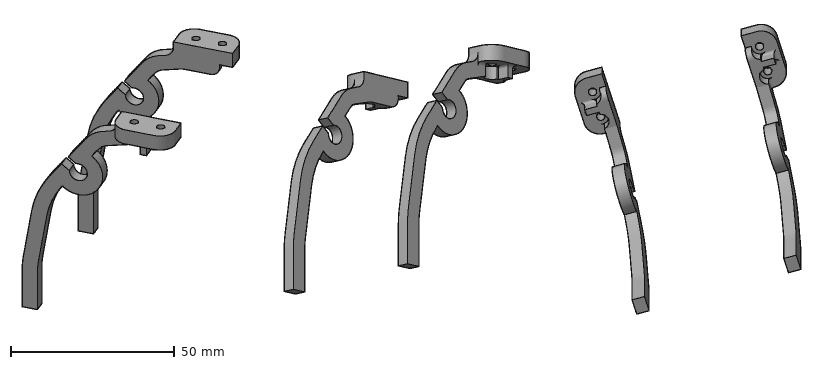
import cadquery as cq
import math

OVERALL_LENGTH = 50.6
OVERALL_WIDTH = 64.5
OVERALL_HEIGHT = 74.0
PAD_LENGTH = 19.45
PAD_DEPTH = 10.0
PAD_THICKNESS = 5.0
PAD_CORNER_RADIUS = 5.0
PAD_LEFT = OVERALL_LENGTH - PAD_LENGTH
PAD_BOTTOM = OVERALL_HEIGHT - PAD_THICKNESS
INNER_FACE = OVERALL_WIDTH / 2 - PAD_DEPTH

HOLE_DIAMETER = 2.5
HEAD_CLEARANCE_DIAMETER = 5.0
HOLE_SPACING = 8.65
HOLE_RIGHT_INSET = 5.0
HOLE_SETBACK = 4.45
HOLE_XS = (OVERALL_LENGTH - HOLE_RIGHT_INSET - HOLE_SPACING, OVERALL_LENGTH - HOLE_RIGHT_INSET)

ARM_THICKNESS = 4.0
WEB_HEIGHT = 4.0
WEB_BOTTOM = PAD_BOTTOM - WEB_HEIGHT
WEB_RIGHT = 46.3
WEB_CORNER_RADIUS = 2.95
RIB_WIDTH = 2.1
RIB_PROJECTION = 4.0
RIB_X = sum(HOLE_XS) / 2
UNDERSIDE_FILLET = 0.95

ARM_WIDTH = 5.0
FOOT_LENGTH = 13.3
SHIN_LENGTH = 17.0
SHIN_HEADING = 9.2
THIGH_LENGTH = 20.4
THIGH_HEADING = 37.0
NECK_HEADING = 75.0
LONG_BEND_RADIUS = 30.0
NECK_BEND_RADIUS = 10.0
NECK_FILLET = 3.4

RING_X = 18.4
RING_Z = 51.9
RING_BORE_RADIUS = 2.95
RING_RADIUS = RING_BORE_RADIUS + ARM_WIDTH
SLOT_WIDTH = 3.6


def step(point, heading, distance):
    """Point reached by moving a distance along a heading."""
    angle = math.radians(heading)
    return point[0] + distance * math.sin(angle), point[1] + distance * math.cos(angle)


class Bend:
    """Bend of the arm that starts at a point of the outer edge."""

    def __init__(self, outer_start, start_heading, end_heading, outer_radius):
        self.center = step(outer_start, start_heading + 90, outer_radius)
        self.headings = (start_heading, (start_heading + end_heading) / 2, end_heading)
        self.outer_radius = outer_radius

    def points(self, inset):
        """Start, middle and end of the arc at an inset from the outer edge."""
        return [step(self.center, heading - 90, self.outer_radius - inset) for heading in self.headings]


def extrude_profile(profile, depth):
    """Extrude an XZ profile outward (+Y) from the inner face."""
    return profile.extrude(-depth)


def inner_face_plane():
    """Upright XZ workplane on the inner face of the rear bracket."""
    return cq.Workplane("XZ", origin=(0, INNER_FACE, 0))


def make_arm():
    """Bent arm, its neck and the web that continues it under the pad."""
    ankle = Bend((0, FOOT_LENGTH), 0, SHIN_HEADING, LONG_BEND_RADIUS)
    knee_start = step(ankle.points(0)[-1], SHIN_HEADING, SHIN_LENGTH)
    knee = Bend(knee_start, SHIN_HEADING, THIGH_HEADING, LONG_BEND_RADIUS)
    neck_start = step(knee.points(0)[-1], THIGH_HEADING, THIGH_LENGTH)
    neck = Bend(neck_start, THIGH_HEADING, NECK_HEADING, NECK_BEND_RADIUS)
    bends = (ankle, knee, neck)

    fillet_center_x = PAD_LEFT - NECK_FILLET
    neck_top = neck.points(0)[-1]
    fillet_start_x = fillet_center_x + NECK_FILLET * math.cos(math.radians(NECK_HEADING))
    neck_slope = 1 / math.tan(math.radians(NECK_HEADING))
    fillet_start = (fillet_start_x, neck_top[1] + (fillet_start_x - neck_top[0]) * neck_slope)
    fillet_center = step(fillet_start, NECK_HEADING - 90, NECK_FILLET)
    fillet_middle = step(fillet_center, NECK_HEADING / 2 + 90, NECK_FILLET)
    fillet_end = (PAD_LEFT, fillet_center[1])

    neck_bottom = neck.points(ARM_WIDTH)[-1]
    web_start_x = neck_bottom[0] + (WEB_BOTTOM - neck_bottom[1]) / neck_slope

    corner_offset = WEB_CORNER_RADIUS * (1 - math.sqrt(0.5))
    profile = inner_face_plane().moveTo(0, 0)
    for bend in bends:
        start, middle, end = bend.points(0)
        profile = profile.lineTo(*start).threePointArc(middle, end)
    profile = (
        profile.lineTo(*fillet_start)
        .threePointArc(fillet_middle, fillet_end)
        .lineTo(PAD_LEFT, OVERALL_HEIGHT)
        .lineTo(WEB_RIGHT, OVERALL_HEIGHT)
        .lineTo(WEB_RIGHT, WEB_BOTTOM + WEB_CORNER_RADIUS)
        .threePointArc(
            (WEB_RIGHT - corner_offset, WEB_BOTTOM + corner_offset),
            (WEB_RIGHT - WEB_CORNER_RADIUS, WEB_BOTTOM),
        )
        .lineTo(web_start_x, WEB_BOTTOM)
    )
    for bend in reversed(bends):
        start, middle, end = bend.points(ARM_WIDTH)
        profile = profile.lineTo(*end).threePointArc(middle, start)
    return extrude_profile(profile.lineTo(ARM_WIDTH, 0).close(), ARM_THICKNESS)


def make_pad():
    pad = cq.Workplane("XY").box(PAD_LENGTH, PAD_DEPTH, PAD_THICKNESS, centered=False)
    pad = pad.edges("|Z and >Y").fillet(PAD_CORNER_RADIUS)
    return pad.translate((PAD_LEFT, INNER_FACE, PAD_BOTTOM))


def make_rib():
    length = ARM_THICKNESS + RIB_PROJECTION
    rib = cq.Workplane("XY").box(RIB_WIDTH, length, WEB_HEIGHT, centered=(True, False, False))
    return rib.translate((RIB_X, INNER_FACE, WEB_BOTTOM))


def fillet_underside(body):
    """Round the inside corner where the web and the rib meet the pad."""
    margin = 0.1
    corner_edges = cq.selectors.BoxSelector(
        (PAD_LEFT + margin, INNER_FACE + margin, PAD_BOTTOM - margin),
        (WEB_RIGHT - margin, INNER_FACE + ARM_THICKNESS + RIB_PROJECTION + margin, PAD_BOTTOM + margin),
    )
    return body.edges(corner_edges).fillet(UNDERSIDE_FILLET)


def make_holes():
    """Screw holes through the pad, with clearance for the heads below it."""
    centers = [(x, INNER_FACE + HOLE_SETBACK) for x in HOLE_XS]
    shanks = cq.Workplane("XY").workplane(offset=PAD_BOTTOM).pushPoints(centers)
    heads = cq.Workplane("XY").workplane(offset=WEB_BOTTOM).pushPoints(centers)
    return shanks.circle(HOLE_DIAMETER / 2).extrude(PAD_THICKNESS).union(
        heads.circle(HEAD_CLEARANCE_DIAMETER / 2).extrude(WEB_HEIGHT)
    )


def ring_plane():
    """Inner-face plane centered on the ring, with its x axis square to the thigh, pointing under it."""
    return inner_face_plane().center(RING_X, RING_Z).transformed(rotate=(0, 0, -THIGH_HEADING))


def make_ring():
    """Disc of the ring, cut off flat inside the thigh so that it stands out only on the underside."""
    disc = extrude_profile(ring_plane().circle(RING_RADIUS), ARM_THICKNESS)
    kept_width = RING_BORE_RADIUS + RING_RADIUS
    kept_side = ring_plane().center(kept_width / 2 - RING_BORE_RADIUS, 0).rect(kept_width, 2 * RING_RADIUS)
    return disc.intersect(extrude_profile(kept_side, ARM_THICKNESS))


def make_clip_opening():
    """Bore of the ring and the slot that opens it square to the thigh."""
    bore = extrude_profile(ring_plane().circle(RING_BORE_RADIUS), ARM_THICKNESS)
    slot_profile = ring_plane().center(-RING_RADIUS / 2, 0).rect(RING_RADIUS, SLOT_WIDTH)
    return bore.union(extrude_profile(slot_profile, ARM_THICKNESS))


def make_bracket():
    body = make_arm().union(make_pad()).union(make_rib())
    body = fillet_underside(body)
    return body.union(make_ring()).cut(make_clip_opening()).cut(make_holes())


rear_bracket = make_bracket()
front_bracket = rear_bracket.mirror("XZ")

result = cq.Compound.makeCompound([rear_bracket.val(), front_bracket.val()])